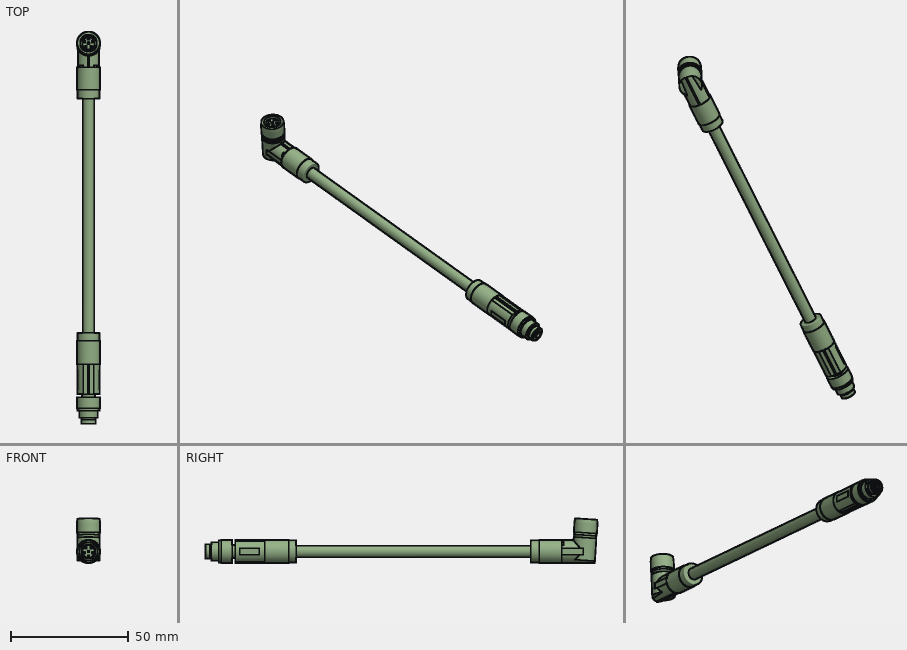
import cadquery as cq
import math


BODY_RADIUS = 5.0
SEAL_RADIUS = 4.8
GRIP_RADIUS = 4.9
CABLE_RADIUS = 2.55
CABLE_LENGTH = 100.0
BLEND = 0.3
EMBED = 1.0

TIP_RADIUS = 3.15
TIP_GROOVE_RADIUS = 3.05
NOSE_RADIUS = 4.0
NECK_RADIUS = 2.8
TIP_RIM_END = 1.8
TIP_END = 2.6
NOSE_END = 5.7
RING_START = 6.7
RING_END = 11.4
NECK_END = 12.7
GRIP_END = 25.4
SLEEVE_END = 35.5
PLUG_END = 38.8
TIP_BORE_RADIUS = 2.65
TIP_BORE_DEPTH = 5.0

OUTER_CONTACTS = 5
CONTACT_CIRCLE_RADIUS = 1.9
PIN_RADIUS = 0.4
PIN_SETBACK = 0.6
SOCKET_HOLE_RADIUS = 0.45
SOCKET_HOLE_DEPTH = 4.0

FLAT_HALF_WIDTH = 2.2
FLAT_HEIGHT = math.sqrt(GRIP_RADIUS**2 - FLAT_HALF_WIDTH**2)
RIB_WIDTH = 0.6
LABEL_HEIGHT = 2.6
LABEL_DEPTH = 0.2
PLUG_LABEL_START = 14.6
PLUG_LABEL_END = 23.0

SOCKET_START = PLUG_END + CABLE_LENGTH
SOCKET_SEAL_END = 142.5
SOCKET_SLEEVE_END = 152.1
ELBOW_GRIP_RADIUS = 4.75
NOTCH_LENGTH = 0.9
NOTCH_WIDTH = 1.8
NOTCH_DEPTH = 0.4
NOTCH_ANGLE = 42
ELBOW_LABEL_END = 161.2
HEAD_AXIS_Y = 161.65
HEAD_TILT = 3.7
HEAD_BOTTOM = -3.75
COLLAR_TOP = 5.9
GROOVE_CREST = 7.0
NUT_START = 8.0
NUT_CHAMFER_START = 12.2
HEAD_TOP = 13.93
COLLAR_RADIUS = 4.9
HEAD_GROOVE_RADIUS = 4.55
GROOVE_CREST_RADIUS = 4.85
NUT_TOP_RADIUS = 4.8
HEAD_BORE_RADIUS = 3.6
HEAD_BORE_DEPTH = 4.5
INSERT_RADIUS = 2.7
INSERT_SETBACK = 0.5


def along_y(radius, start, end):
    """Cylinder about the Y axis from start to end."""
    return cq.Workplane("XZ", origin=(0, start, 0)).circle(radius).extrude(start - end)


def box_between(x_range, y_range, z_range):
    """Box spanning the given coordinate ranges."""
    spans = (x_range, y_range, z_range)
    sizes = [high - low for low, high in spans]
    middle = tuple((low + high) / 2 for low, high in spans)
    return cq.Workplane("XY").box(*sizes).translate(middle)


def contact_points(first_angle):
    """Centre contact plus the contacts on the circle."""
    points = [(0, 0)]
    for index in range(OUTER_CONTACTS):
        angle = math.radians(first_angle + index * 360 / OUTER_CONTACTS)
        points.append((CONTACT_CIRCLE_RADIUS * math.cos(angle), CONTACT_CIRCLE_RADIUS * math.sin(angle)))
    return points


def grip_ribs(start, end):
    """Thin ribs along the top and bottom of a grip, rounded to the body radius."""
    across = (-RIB_WIDTH / 2, RIB_WIDTH / 2)
    blade = box_between(across, (start, end), (-BODY_RADIUS, BODY_RADIUS))
    return blade.intersect(along_y(BODY_RADIUS, start, end))


def side_labels(body, radius, start, end):
    """Sink a shallow rectangular label field into both sides."""
    floor = radius - LABEL_DEPTH
    for low, high in ((-2 * BODY_RADIUS, -floor), (floor, 2 * BODY_RADIUS)):
        body = body.cut(box_between((low, high), (start, end), (-LABEL_HEIGHT / 2, LABEL_HEIGHT / 2)))
    return body


def make_plug():
    grip = along_y(GRIP_RADIUS, NECK_END, GRIP_END + EMBED)
    across = (-BODY_RADIUS, BODY_RADIUS)
    for heights in ((FLAT_HEIGHT, BODY_RADIUS), (-BODY_RADIUS, -FLAT_HEIGHT)):
        grip = grip.cut(box_between(across, (NECK_END, GRIP_END + EMBED), heights))
    grip = side_labels(grip, GRIP_RADIUS, PLUG_LABEL_START, PLUG_LABEL_END)
    body = grip.union(grip_ribs(NECK_END, GRIP_END + EMBED))
    body = body.union(along_y(BODY_RADIUS, GRIP_END, SLEEVE_END))
    body = body.union(along_y(SEAL_RADIUS, SLEEVE_END - EMBED, PLUG_END).faces(">Y").edges().fillet(BLEND))
    body = body.union(along_y(NECK_RADIUS, NOSE_END - EMBED, NECK_END + EMBED))
    body = body.union(along_y(BODY_RADIUS, RING_START, RING_END))
    body = body.union(along_y(SEAL_RADIUS, NOSE_END, RING_START + EMBED))
    body = body.union(along_y(NOSE_RADIUS, TIP_END, RING_START))
    body = body.union(along_y(TIP_GROOVE_RADIUS, 0, NOSE_END))
    body = body.union(along_y(TIP_RADIUS, 0, TIP_RIM_END))
    body = body.cut(along_y(TIP_BORE_RADIUS, 0, TIP_BORE_DEPTH))
    pins = (
        cq.Workplane("XZ", origin=(0, PIN_SETBACK, 0))
        .pushPoints(contact_points(-90))
        .circle(PIN_RADIUS)
        .extrude(PIN_SETBACK - TIP_BORE_DEPTH - EMBED)
    )
    return body.union(pins)


def tilt_into_place(upright):
    """Lean a body built about the Z axis and move it to the end of the cable."""
    return upright.rotate((0, 0, 0), (1, 0, 0), -HEAD_TILT).translate((0, HEAD_AXIS_Y, 0))


def make_head():
    """Upright head of the angled socket, a turned body tilted about X."""
    outline = [
        (0, HEAD_BOTTOM),
        (COLLAR_RADIUS, HEAD_BOTTOM),
        (COLLAR_RADIUS, COLLAR_TOP),
        (HEAD_GROOVE_RADIUS, COLLAR_TOP),
        (GROOVE_CREST_RADIUS, GROOVE_CREST),
        (HEAD_GROOVE_RADIUS, NUT_START),
        (BODY_RADIUS, NUT_START),
        (BODY_RADIUS, NUT_CHAMFER_START),
        (NUT_TOP_RADIUS, HEAD_TOP),
        (0, HEAD_TOP),
    ]
    head = cq.Workplane("XZ").polyline(outline).close().revolve(360, (0, 0), (0, 1))
    top = cq.Workplane("XY", origin=(0, 0, HEAD_TOP))
    head = head.cut(top.circle(HEAD_BORE_RADIUS).extrude(-HEAD_BORE_DEPTH))
    insert_top = HEAD_TOP - INSERT_SETBACK
    insert_plane = cq.Workplane("XY", origin=(0, 0, insert_top))
    head = head.union(insert_plane.circle(INSERT_RADIUS).extrude(-HEAD_BORE_DEPTH - EMBED))
    holes = insert_plane.pushPoints(contact_points(90)).circle(SOCKET_HOLE_RADIUS).extrude(-SOCKET_HOLE_DEPTH)
    head = head.cut(holes)
    return tilt_into_place(head)


def make_elbow_grip():
    """Horizontal grip behind the sleeve, its far end rounded to follow the head."""
    untrimmed_end = HEAD_AXIS_Y + 2 * COLLAR_RADIUS
    grip = along_y(ELBOW_GRIP_RADIUS, SOCKET_SLEEVE_END - EMBED, untrimmed_end)
    notch = box_between(
        (-NOTCH_WIDTH / 2, NOTCH_WIDTH / 2),
        (SOCKET_SLEEVE_END, SOCKET_SLEEVE_END + NOTCH_LENGTH),
        (ELBOW_GRIP_RADIUS - NOTCH_DEPTH, BODY_RADIUS),
    )
    for angle in (-NOTCH_ANGLE, NOTCH_ANGLE):
        grip = grip.cut(notch.rotate((0, 0, 0), (0, 1, 0), angle))
    grip = grip.union(grip_ribs(SOCKET_SLEEVE_END, untrimmed_end))
    reach = 2 * BODY_RADIUS
    span = (-reach, reach)
    envelope = cq.Workplane("XY", origin=(0, 0, -reach)).circle(COLLAR_RADIUS).extrude(2 * reach)
    envelope = tilt_into_place(envelope)
    envelope = envelope.union(box_between(span, (SOCKET_START, HEAD_AXIS_Y), span))
    return grip.intersect(envelope)


def make_socket():
    seal = along_y(SEAL_RADIUS, SOCKET_START, SOCKET_SEAL_END + EMBED).faces("<Y").edges().fillet(BLEND)
    elbow = make_elbow_grip().union(make_head())
    elbow = side_labels(elbow, ELBOW_GRIP_RADIUS, SOCKET_SLEEVE_END, ELBOW_LABEL_END)
    return elbow.union(along_y(BODY_RADIUS, SOCKET_SEAL_END, SOCKET_SLEEVE_END)).union(seal)


cable = along_y(CABLE_RADIUS, PLUG_END - EMBED, SOCKET_START + EMBED)
result = make_plug().union(cable).union(make_socket())